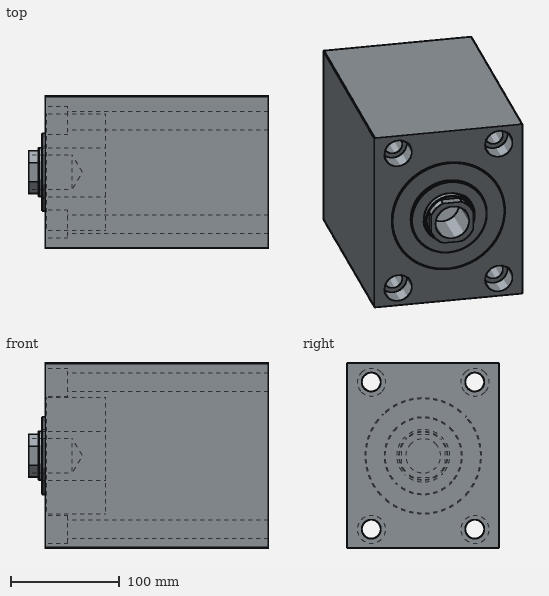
import cadquery as cq
import math


overall_length = 220.0
housing_width = 140.0
housing_height = 170.0
housing_edge_chamfer = 0.7

boss_height = 3.0
collar_length = 3.3
wrench_length = 8.8
rod_projection = boss_height + collar_length + wrench_length
housing_length = overall_length - rod_projection

bolt_spacing_y = 95.0
bolt_spacing_z = 135.0
bolt_diameter = 17.2
counterbore_diameter = 25.7
counterbore_depth = 20.0

gland_diameter = 107.0
gland_depth = 55.0
gland_edge_chamfer = 0.9
boss_diameter = 71.7
boss_edge_chamfer = 0.9
wiper_recess_diameter = 48.5
wiper_recess_depth = 3.3

rod_diameter = 45.0
rod_shoulder_chamfer = 0.7
wrench_corner_diameter = 43.3
wrench_across_flats = 39.5
thread_bore_diameter = 31.7
thread_bore_depth = 39.5
drill_point_angle = 118.0


def cylinder_x(diameter, x_start, length):
    """Solid cylinder on the X axis, running from x_start towards +X."""
    return cq.Workplane("YZ", origin=(x_start, 0, 0)).circle(diameter / 2).extrude(length)


def make_housing():
    block = (
        cq.Workplane("YZ")
        .rect(housing_width, housing_height)
        .extrude(housing_length)
        .edges("|X")
        .chamfer(housing_edge_chamfer)
    )
    bolt_pattern = cq.Workplane("YZ").rect(bolt_spacing_y, bolt_spacing_z, forConstruction=True).vertices()
    bolt_holes = bolt_pattern.circle(bolt_diameter / 2).extrude(housing_length)
    counterbores = bolt_pattern.circle(counterbore_diameter / 2).extrude(counterbore_depth)
    gland_seat = cylinder_x(gland_diameter, 0, gland_depth)
    return block.cut(bolt_holes).cut(counterbores).cut(gland_seat)


def make_gland():
    plug = cylinder_x(gland_diameter, 0, gland_depth).faces("<X").chamfer(gland_edge_chamfer)
    boss = cylinder_x(boss_diameter, -boss_height, boss_height).faces("<X").chamfer(boss_edge_chamfer)
    rod_bore = cylinder_x(rod_diameter, -boss_height, boss_height + gland_depth)
    wiper_recess = cylinder_x(wiper_recess_diameter, -boss_height, wiper_recess_depth)
    return plug.union(boss).cut(rod_bore).cut(wiper_recess)


def make_thread_bore():
    """Blind bore from the rod end, closed by a drill-point cone."""
    bore_radius = thread_bore_diameter / 2
    cone_depth = bore_radius / math.tan(math.radians(drill_point_angle / 2))
    cone_start = thread_bore_depth - rod_projection
    return (
        cq.Workplane("XY")
        .moveTo(-rod_projection, 0)
        .lineTo(-rod_projection, bore_radius)
        .lineTo(cone_start, bore_radius)
        .lineTo(cone_start + cone_depth, 0)
        .close()
        .revolve(360, (0, 0, 0), (1, 0, 0))
    )


def make_rod():
    shoulder_x = -(boss_height + collar_length)
    shank = cylinder_x(rod_diameter, shoulder_x, gland_depth - shoulder_x)
    shank = shank.faces("<X").chamfer(rod_shoulder_chamfer)
    square_end = (
        cq.Workplane("YZ", origin=(-rod_projection, 0, 0))
        .rect(wrench_across_flats, wrench_across_flats)
        .extrude(wrench_length)
    )
    wrench_end = cylinder_x(wrench_corner_diameter, -rod_projection, wrench_length).intersect(square_end)
    return shank.union(wrench_end).cut(make_thread_bore())


housing = make_housing()
gland = make_gland()
rod = make_rod()

result = cq.Compound.makeCompound([housing.val(), gland.val(), rod.val()])